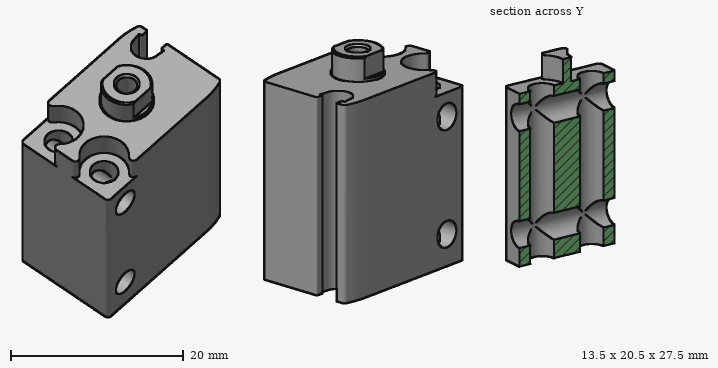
import cadquery as cq
import math

width = 13.5
depth = 20.5
total_height = 27.5
rod_projection = 3.0
housing_height = total_height - rod_projection
front_corner_radius = 0.5

flank_radius = 10.0
flank_length = 3.08
rear_corner_radius = 0.5

hole_diameter = 3.3
hole_spacing = 7.0
hole_y = 3.0
cross_hole_heights = (4.0, 18.5)

pocket_radius = 2.9
pocket_depth = 3.0
pocket_lip_radius = 0.5
wall_angle = 45.0

slot_side_distance = 3.2
slot_x = slot_side_distance - width / 2
slot_opening = 3.0
slot_lip_depth = 1.02
slot_shoulder_width = 3.8
slot_radius = 1.8
slot_total_depth = 3.75
slot_lip_fillet = 0.1

rod_diameter = 6.0
rod_y = 11.0
rod_insertion = 15.0
rod_chamfer = 0.2
flat_width = 5.0
flat_base_gap = 0.28
thread_hole_diameter = 2.45
thread_hole_depth = 5.0
thread_chamfer = 0.28
drill_tip_angle = 118.0
bore_chamfer = 0.2


def housing_blank():
    """Block with rounded front corners and inward-curving rear flanks."""
    half = width / 2
    flank_start = depth - flank_length

    def flank_inset(y):
        return flank_radius - math.sqrt(flank_radius**2 - (y - flank_start) ** 2)

    middle_y = depth - flank_length / 2
    middle_x = half - flank_inset(middle_y)
    rear_x = half - flank_inset(depth)
    block = (
        cq.Workplane("XY")
        .moveTo(-half, 0)
        .lineTo(half, 0)
        .lineTo(half, flank_start)
        .threePointArc((middle_x, middle_y), (rear_x, depth))
        .lineTo(-rear_x, depth)
        .threePointArc((-middle_x, middle_y), (-half, flank_start))
        .close()
        .extrude(housing_height)
    )
    block = block.edges("|Z and <Y").fillet(front_corner_radius)
    return block.edges("|Z and >Y").fillet(rear_corner_radius)


def corner_pocket(side):
    """Round pocket open diagonally to a front corner; side is -1 for left and 1 for right.

    Its two straight walls run at 45 degrees from the circle to the housing faces, and the
    acute housing edges left beside the opening are rounded, so the pocket flares there.
    """
    hole_x = hole_spacing / 2
    half = width / 2
    side_distance = half - hole_x
    diagonal_offset = pocket_radius * math.sqrt(2)
    round_length = pocket_lip_radius / math.tan(math.radians(wall_angle / 2))
    side_wall_y = hole_y - side_distance + diagonal_offset + round_length
    front_wall_x = half - (side_distance - hole_y + diagonal_offset + round_length)
    side_round_center = (half - pocket_lip_radius, side_wall_y)
    front_round_center = (front_wall_x, pocket_lip_radius)

    def polar(center, radius, angle):
        """Point at an angle around a centre, mirrored for the left pocket."""
        x = center[0] + radius * math.cos(math.radians(angle))
        y = center[1] + radius * math.sin(math.radians(angle))
        return (side * x, y)

    hole_center = (hole_x, hole_y)
    return (
        cq.Workplane("XY", origin=(0, 0, housing_height - pocket_depth))
        .moveTo(side * half, 0)
        .lineTo(side * half, side_wall_y)
        .threePointArc(
            polar(side_round_center, pocket_lip_radius, -1.5 * wall_angle),
            polar(side_round_center, pocket_lip_radius, -3 * wall_angle),
        )
        .lineTo(*polar(hole_center, pocket_radius, wall_angle))
        .threePointArc(
            polar(hole_center, pocket_radius, 3 * wall_angle),
            polar(hole_center, pocket_radius, 5 * wall_angle),
        )
        .lineTo(*polar(front_round_center, pocket_lip_radius, wall_angle))
        .threePointArc(
            polar(front_round_center, pocket_lip_radius, -0.5 * wall_angle),
            polar(front_round_center, pocket_lip_radius, -2 * wall_angle),
        )
        .close()
        .extrude(pocket_depth)
    )


def cut_mounting_holes(body):
    """Two vertical holes and two cross holes, all passing through."""
    for side in (-1, 1):
        body = body.cut(
            cq.Workplane("XY")
            .center(side * hole_spacing / 2, hole_y)
            .circle(hole_diameter / 2)
            .extrude(housing_height)
        )
    for height in cross_hole_heights:
        body = body.cut(
            cq.Workplane("YZ", origin=(-width / 2, hole_y, height))
            .circle(hole_diameter / 2)
            .extrude(width)
        )
    return body


def sensor_slot():
    """Full-height slot with a round floor, narrowed by two lips at the rear face."""
    shoulder_y = depth - slot_lip_depth
    center_y = depth - slot_total_depth + slot_radius
    return (
        cq.Workplane("XY", origin=(slot_x, 0, 0))
        .moveTo(-slot_opening / 2, depth)
        .lineTo(-slot_opening / 2, shoulder_y)
        .lineTo(-slot_shoulder_width / 2, shoulder_y)
        .lineTo(-slot_radius, center_y)
        .threePointArc((0, center_y - slot_radius), (slot_radius, center_y))
        .lineTo(slot_shoulder_width / 2, shoulder_y)
        .lineTo(slot_opening / 2, shoulder_y)
        .lineTo(slot_opening / 2, depth)
        .close()
        .extrude(housing_height)
    )


def cut_sensor_slot(body):
    """Cut the slot and round the edges of its lips."""
    body = body.cut(sensor_slot())
    margin = 0.03
    lip_edges = cq.selectors.BoxSelector(
        (slot_x - slot_opening / 2 - margin, depth - slot_lip_depth - margin, 0),
        (slot_x + slot_opening / 2 + margin, depth + margin, housing_height),
    )
    return body.edges("|Z").edges(lip_edges).fillet(slot_lip_fillet)


def rod_bore():
    """Blind bore that holds the rod, with a chamfered mouth."""
    bottom = housing_height - rod_insertion
    bore = cq.Workplane("XY", origin=(0, rod_y, bottom)).circle(rod_diameter / 2).extrude(rod_insertion)
    mouth = cq.Solid.makeCone(
        rod_diameter / 2,
        rod_diameter / 2 + bore_chamfer,
        bore_chamfer,
        pnt=cq.Vector(0, rod_y, housing_height - bore_chamfer),
    )
    return bore.union(mouth)


def make_housing():
    body = cut_sensor_slot(housing_blank())
    for side in (-1, 1):
        body = body.cut(corner_pocket(side))
    body = cut_mounting_holes(body)
    return body.cut(rod_bore())


def threaded_hole():
    """Blind hole from the rod's end face, with a chamfered mouth and a drill-point floor."""
    radius = thread_hole_diameter / 2
    tip_depth = radius / math.tan(math.radians(drill_tip_angle / 2))
    return (
        cq.Workplane("XZ", origin=(0, rod_y, total_height))
        .moveTo(0, 0)
        .lineTo(radius + thread_chamfer, 0)
        .lineTo(radius, -thread_chamfer)
        .lineTo(radius, -thread_hole_depth)
        .lineTo(0, -thread_hole_depth - tip_depth)
        .close()
        .revolve(360, (0, 0, 0), (0, 1, 0))
    )


def make_rod():
    """Round rod with two wrench flats on its exposed end."""
    bottom = housing_height - rod_insertion
    rod = (
        cq.Workplane("XY", origin=(0, rod_y, bottom))
        .circle(rod_diameter / 2)
        .extrude(total_height - bottom)
        .faces(">Z")
        .edges()
        .chamfer(rod_chamfer)
    )
    flat_height = rod_projection - flat_base_gap
    flat_cut = (rod_diameter - flat_width) / 2
    for side in (-1, 1):
        rod = rod.cut(
            cq.Workplane("XY")
            .box(flat_cut, rod_diameter, flat_height)
            .translate((side * (flat_width + flat_cut) / 2, rod_y, total_height - flat_height / 2))
        )
    return rod.cut(threaded_hole())


housing = make_housing()
rod = make_rod()
result = cq.Compound.makeCompound([*housing.solids().vals(), *rod.solids().vals()])